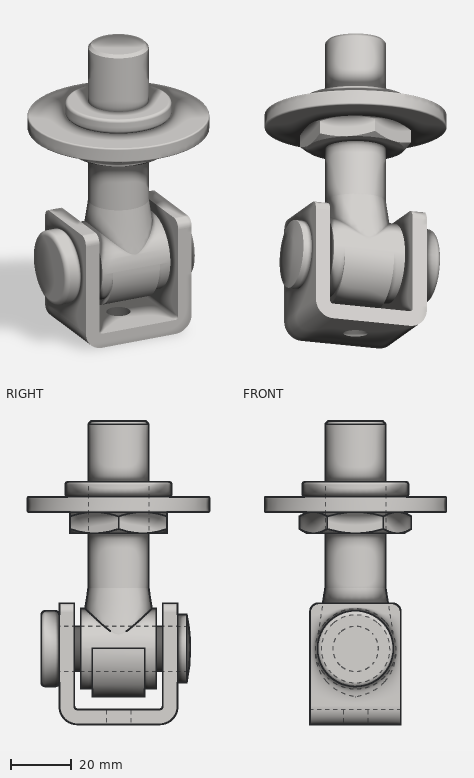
import cadquery as cq
import math

total_height = 100
ring_top = 80
ring_thickness = 5
washer_thickness = 5
nut_thickness = 7
washer_top = ring_top - ring_thickness
nut_top = washer_top - washer_thickness
nut_bottom = nut_top - nut_thickness

shank_diameter = 20
shank_chamfer = 1
shank_bottom = 45
eye_diameter = 26.5
eye_width = 25
eye_height = 25
neck_bottom = 29.6
neck_bottom_diameter = 24.8
pin_hole_diameter = 15

lump_diameter = 29.4
lump_width = 17.2
lump_arc_offset = 1.4
lump_arc_height = eye_height - 1
lump_start_angle = -4.5
lump_end_angle = 75

ring_diameter = 35
ring_fillet = 1
washer_diameter = 60
washer_fillet = 0.5
nut_across_flats = 32
nut_chamfer_angle = 30

bracket_length = 30
bracket_width = 39
bracket_height = 40
bracket_thickness = 5
bend_inner_radius = 1
bend_outer_radius = bend_inner_radius + bracket_thickness
bracket_corner_radius = 3
base_hole_diameter = 8

pin_diameter = 14.9
head_diameter = 25
head_thickness = 6
head_fillet = 1.5
cap_diameter = 22.5
cap_rim_thickness = 3
cap_dome_height = 1.2


def disc(diameter, bottom, thickness):
    """Solid disc on the bolt axis."""
    return cq.Workplane("XY").workplane(offset=bottom).circle(diameter / 2).extrude(thickness)


def cross_cylinder(diameter, y_start, y_end):
    """Cylinder on the hinge axis, running along Y at the height of the eye."""
    return (
        cq.Workplane("XZ", origin=(0, y_start, eye_height))
        .circle(diameter / 2)
        .extrude(y_start - y_end)
    )


def make_lump():
    """Cam below the hinge axis: two mirrored arcs that run out along tangents to a keel at x = 0."""
    radius = lump_diameter / 2

    def arc_point(angle):
        x = lump_arc_offset - radius * math.cos(math.radians(angle))
        z = lump_arc_height - radius * math.sin(math.radians(angle))
        return x, z

    def mirrored(point):
        return -point[0], point[1]

    top = arc_point(lump_start_angle)
    middle = arc_point((lump_start_angle + lump_end_angle) / 2)
    end = arc_point(lump_end_angle)
    keel = (0, end[1] + end[0] / math.tan(math.radians(lump_end_angle)))
    return (
        cq.Workplane("XZ")
        .moveTo(*top)
        .threePointArc(middle, end)
        .lineTo(*keel)
        .lineTo(*mirrored(end))
        .threePointArc(mirrored(middle), mirrored(top))
        .close()
        .extrude(lump_width / 2, both=True)
    )


def make_bolt():
    shank = disc(shank_diameter, shank_bottom, total_height - shank_bottom)
    shank = shank.faces(">Z").chamfer(shank_chamfer)
    neck = (
        cq.Workplane("XY")
        .workplane(offset=neck_bottom)
        .circle(neck_bottom_diameter / 2)
        .workplane(offset=shank_bottom - neck_bottom)
        .circle(shank_diameter / 2)
        .loft(ruled=True)
    )
    eye = cross_cylinder(eye_diameter, -eye_width / 2, eye_width / 2)
    pin_hole = cross_cylinder(pin_hole_diameter, -eye_width / 2, eye_width / 2)
    return shank.union(neck).union(eye).union(make_lump()).cut(pin_hole)


def make_ring():
    ring = disc(ring_diameter, washer_top, ring_thickness).edges().fillet(ring_fillet)
    return ring.cut(disc(shank_diameter, washer_top, ring_thickness))


def make_washer():
    washer = disc(washer_diameter, nut_top, washer_thickness).edges().fillet(washer_fillet)
    return washer.cut(disc(shank_diameter, nut_top, washer_thickness))


def make_nut():
    """Hexagon nut with two flats facing -Y and +Y and conical chamfers on both faces."""
    across_corners = nut_across_flats / math.cos(math.radians(30))
    corner_drop = (across_corners - nut_across_flats) / 2 * math.tan(math.radians(nut_chamfer_angle))
    hexagon = (
        cq.Workplane("XY").workplane(offset=nut_bottom).polygon(6, across_corners).extrude(nut_thickness)
    )
    chamfer_envelope = (
        cq.Workplane("XZ")
        .moveTo(0, nut_bottom)
        .lineTo(nut_across_flats / 2, nut_bottom)
        .lineTo(across_corners / 2, nut_bottom + corner_drop)
        .lineTo(across_corners / 2, nut_top - corner_drop)
        .lineTo(nut_across_flats / 2, nut_top)
        .lineTo(0, nut_top)
        .close()
        .revolve(360, (0, 0, 0), (0, 1, 0))
    )
    return hexagon.intersect(chamfer_envelope).cut(disc(shank_diameter, nut_bottom, nut_thickness))


def make_bracket():
    outside = (
        cq.Workplane("XY")
        .box(bracket_length, bracket_width, bracket_height, centered=(True, True, False))
        .edges("<Z and |X")
        .fillet(bend_outer_radius)
        .edges(">Z and |Y")
        .fillet(bracket_corner_radius)
    )
    inside = (
        cq.Workplane("XY")
        .workplane(offset=bracket_thickness)
        .box(
            bracket_length,
            bracket_width - 2 * bracket_thickness,
            bracket_height - bracket_thickness,
            centered=(True, True, False),
        )
        .edges("<Z and |X")
        .fillet(bend_inner_radius)
    )
    pin_holes = cross_cylinder(pin_hole_diameter, -bracket_width / 2, bracket_width / 2)
    return outside.cut(inside).cut(pin_holes).cut(disc(base_hole_diameter, 0, bracket_thickness))


def make_pin():
    """Pin with a rounded head on the -Y side; its plain end reaches into the cap."""
    bracket_face = -bracket_width / 2
    head = cross_cylinder(head_diameter, bracket_face - head_thickness, bracket_face)
    head = head.edges().fillet(head_fillet)
    shaft = cross_cylinder(pin_diameter, bracket_face, bracket_width / 2 + cap_rim_thickness)
    return head.union(shaft)


def make_cap():
    """Cap with a shallow domed end, bored to take the end of the pin."""
    bracket_face = bracket_width / 2
    rim_end = bracket_face + cap_rim_thickness
    dome_radius = (cap_diameter**2 / 4 + cap_dome_height**2) / (2 * cap_dome_height)
    dome_middle_depth = dome_radius - math.sqrt(dome_radius**2 - cap_diameter**2 / 16)
    dome_middle = (rim_end + cap_dome_height - dome_middle_depth, cap_diameter / 4)
    cap = (
        cq.Workplane("YZ", origin=(0, 0, eye_height))
        .moveTo(bracket_face, 0)
        .lineTo(bracket_face, cap_diameter / 2)
        .lineTo(rim_end, cap_diameter / 2)
        .threePointArc(dome_middle, (rim_end + cap_dome_height, 0))
        .close()
        .revolve(360, (0, 0, 0), (1, 0, 0))
    )
    return cap.cut(cross_cylinder(pin_diameter, bracket_face, rim_end))


bolt = make_bolt()
ring = make_ring()
washer = make_washer()
nut = make_nut()
bracket = make_bracket()
pin = make_pin()
cap = make_cap()

result = cq.Compound.makeCompound(
    [bolt.val(), ring.val(), washer.val(), nut.val(), bracket.val(), pin.val(), cap.val()]
)